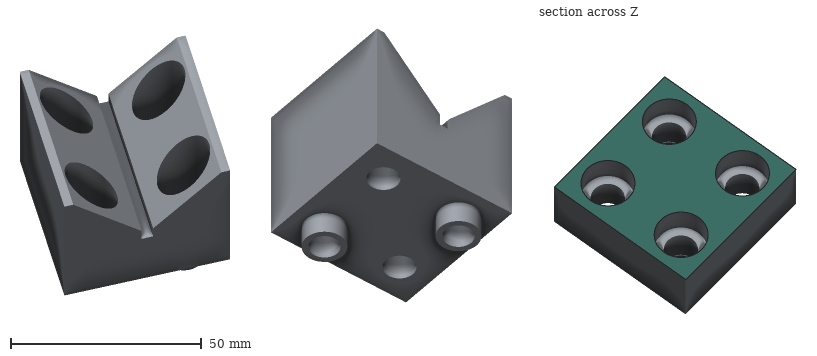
import cadquery as cq

side = 45.0
total_height = 46.5
peg_length = 6.5
block_height = total_height - peg_length
rim_width = 2.4

slot_width = 3.15
slot_floor = 17.9

hole_offset = 12.5
hole_diameter = 9.0
counterbore_diameter = 14.0
counterbore_floor = 9.3

peg_diameter = 12.0
peg_bore = 8.5


def cylinder(x, y, diameter, bottom, top):
    return (
        cq.Workplane("XY", origin=(x, y, bottom))
        .circle(diameter / 2)
        .extrude(top - bottom)
    )


def grooved_block():
    half_side = side / 2
    half_slot = slot_width / 2
    groove_half_width = half_side - rim_width
    groove_floor = block_height - (groove_half_width - half_slot)
    return (
        cq.Workplane("YZ", origin=(-half_side, 0, 0))
        .moveTo(-half_side, 0)
        .lineTo(half_side, 0)
        .lineTo(half_side, block_height)
        .lineTo(groove_half_width, block_height)
        .lineTo(half_slot, groove_floor)
        .lineTo(half_slot, slot_floor)
        .lineTo(-half_slot, slot_floor)
        .lineTo(-half_slot, groove_floor)
        .lineTo(-groove_half_width, block_height)
        .lineTo(-half_side, block_height)
        .close()
        .extrude(side)
    )


def add_peg(body, x, y):
    body = body.union(cylinder(x, y, peg_diameter, -peg_length, 0))
    return body.cut(cylinder(x, y, peg_bore, -peg_length, 0))


def cut_counterbored_hole(body, x, y):
    body = body.cut(cylinder(x, y, hole_diameter, 0, block_height))
    return body.cut(cylinder(x, y, counterbore_diameter, counterbore_floor, block_height))


result = grooved_block()
for x_sign in (-1, 1):
    for y_sign in (-1, 1):
        x = x_sign * hole_offset
        y = y_sign * hole_offset
        if x_sign == y_sign:
            result = add_peg(result, x, y)
        result = cut_counterbored_hole(result, x, y)